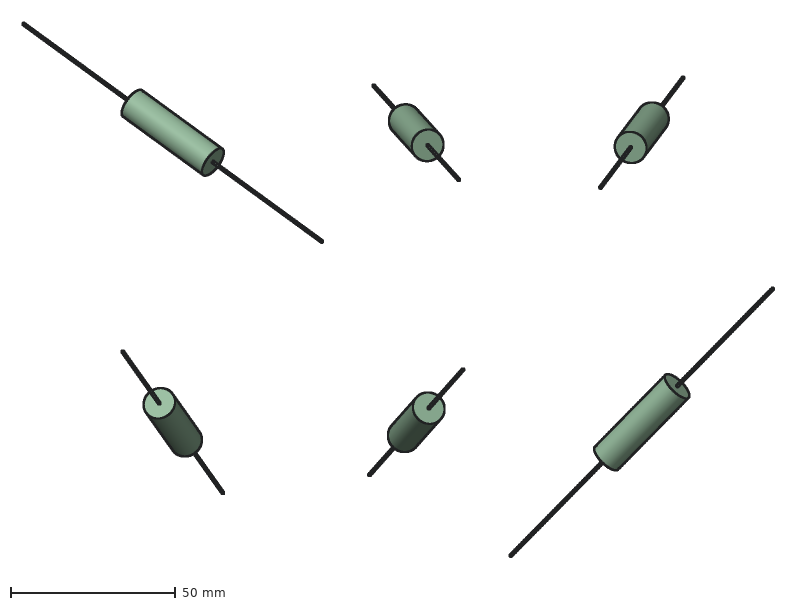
import cadquery as cq

overall_length = 123.0
case_length = 33.1
case_diameter = 10.0
wire_diameter = 0.8


def axial_cylinder(diameter, length):
    """Solid cylinder along X, centred on the origin."""
    return cq.Workplane("YZ").workplane(offset=-length / 2).circle(diameter / 2).extrude(length)


wire = axial_cylinder(wire_diameter, overall_length)

case_bore = axial_cylinder(wire_diameter, case_length)
case = axial_cylinder(case_diameter, case_length).cut(case_bore)

result = cq.Compound.makeCompound([case.val(), wire.val()])